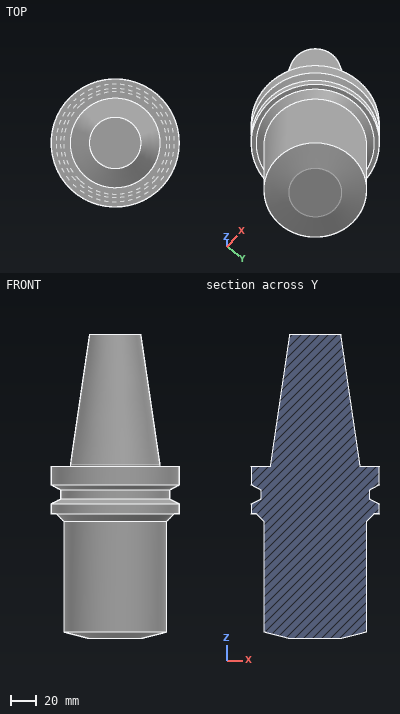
import cadquery as cq

total_height = 236.8
flange_diameter = 100.0
taper_large_diameter = 69.9
taper_small_diameter = 40.0
groove_diameter = 85.0
body_diameter = 80.0
tip_diameter = 41.2

tip_height = 5.0
neck_bottom = 91.2
flange_bottom = 97.0
groove_bottom = 105.0
groove_floor_bottom = 108.7
groove_floor_top = 115.5
groove_top = 119.5
flange_top = 134.0
taper_bottom = 135.5
neck_diameter = body_diameter + 2 * (flange_bottom - neck_bottom)

section = [
    (tip_diameter, 0),
    (body_diameter, tip_height),
    (body_diameter, neck_bottom),
    (neck_diameter, flange_bottom),
    (flange_diameter, flange_bottom),
    (flange_diameter, groove_bottom),
    (groove_diameter, groove_floor_bottom),
    (groove_diameter, groove_floor_top),
    (flange_diameter, groove_top),
    (flange_diameter, flange_top),
    (taper_large_diameter, flange_top),
    (taper_large_diameter, taper_bottom),
    (taper_small_diameter, total_height),
]
outline = [(diameter / 2, height) for diameter, height in section]

result = (
    cq.Workplane("XZ")
    .polyline([(0, 0)] + outline + [(0, total_height)])
    .close()
    .revolve(360, (0, 0, 0), (0, 1, 0))
)